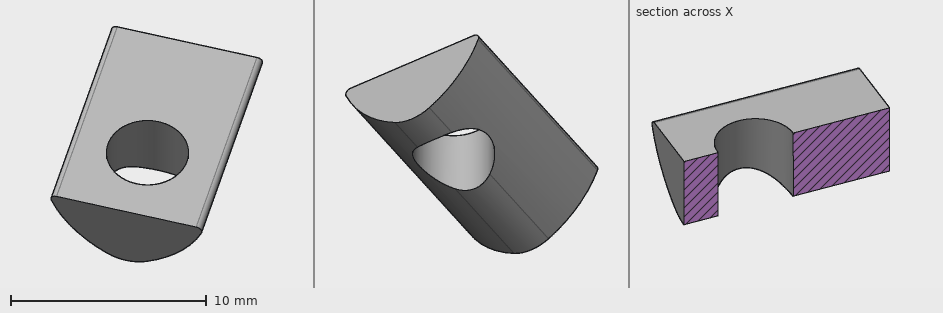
import math

import cadquery as cq

width = 8.0
length = 11.5
height = 4.0

corner_radius = 0.3
side_radius = 6.44
nose_radius = 2.18

hole_diameter = 4.2
hole_from_front = 4.0


def side_arc_center(corner, nose):
    """Center of the +X side arc, which encloses and touches the corner and nose circles."""
    to_corner = side_radius - corner_radius
    to_nose = side_radius - nose_radius
    dx = corner[0] - nose[0]
    dz = corner[1] - nose[1]
    gap = math.hypot(dx, dz)
    along = (to_nose**2 - to_corner**2 + gap**2) / (2 * gap)
    across = math.sqrt(to_nose**2 - along**2)
    return (
        nose[0] + (along * dx - across * dz) / gap,
        nose[1] + (along * dz + across * dx) / gap,
    )


def point_on_circle(center, radius, angle):
    return (center[0] + radius * math.cos(angle), center[1] + radius * math.sin(angle))


def direction(start, end):
    return math.atan2(end[1] - start[1], end[0] - start[0])


def mirrored(point):
    return (-point[0], point[1])


def make_body():
    """Extrude the symmetric cross-section along Y, with its flat top at Z = 0."""
    corner = (width / 2 - corner_radius, -corner_radius)
    nose = (0, nose_radius - height)
    side = side_arc_center(corner, nose)

    corner_angle = direction(side, corner)
    nose_angle = direction(side, nose)

    top_end = (corner[0], 0)
    corner_middle = point_on_circle(corner, corner_radius, math.pi / 4)
    corner_end = point_on_circle(side, side_radius, corner_angle)
    side_middle = point_on_circle(side, side_radius, (corner_angle + nose_angle) / 2)
    side_end = point_on_circle(side, side_radius, nose_angle)

    return (
        cq.Workplane("XZ")
        .moveTo(*mirrored(top_end))
        .lineTo(*top_end)
        .threePointArc(corner_middle, corner_end)
        .threePointArc(side_middle, side_end)
        .threePointArc((0, -height), mirrored(side_end))
        .threePointArc(mirrored(side_middle), mirrored(corner_end))
        .threePointArc(mirrored(corner_middle), mirrored(top_end))
        .close()
        .extrude(-length)
    )


def make_hole():
    return (
        cq.Workplane("XY")
        .center(0, hole_from_front)
        .circle(hole_diameter / 2)
        .extrude(-height)
    )


result = make_body().cut(make_hole())